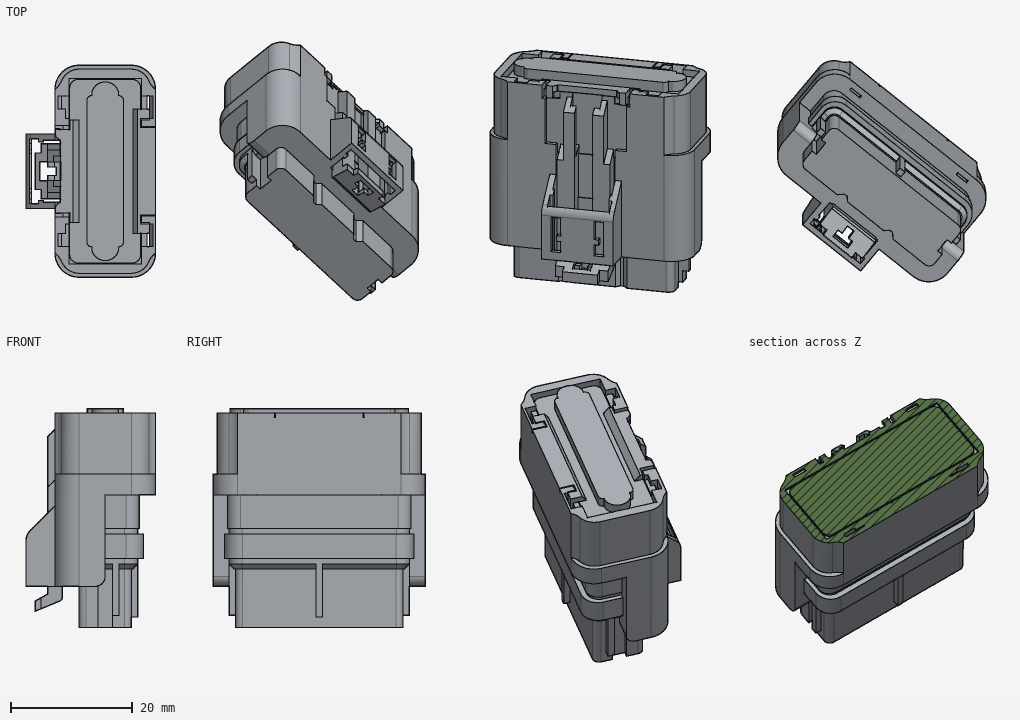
import cadquery as cq
import math


total_height = 36.0
total_width = 34.9
total_depth = 21.3

shell_half_x = 8.28
shell_corner = 4.0
shell_bottom = 6.8
shell_step = 25.25
rim_top = 35.3
upper_half_y = 16.78
collar_bottom = 21.85
skirt_edge_radius = 1.62

face_x = -shell_half_x
face_half_y = total_width / 2 - shell_corner
hood_front_x = shell_half_x - total_depth

well_half_x = 5.98
well_half_y = 15.23
well_floor = 34.25
well_gap = 0.15
well_gap_depth = 0.72
core_top_corner = 1.35

lower_slot_half_y = 5.08
upper_slot_half_y = 7.0
plate_x = -7.45
core_wall_x = -7.27
plate_bottom = 23.7

lever_front_x = -9.45
lever_half_y = 4.55
rib_inner_y = 1.55
rib_outer_y = 3.45
rib_top = 33.45
pocket_half_y = 2.52
pocket_front_x = -8.55
pocket_back_x = -7.05


def block(x0, x1, y0, y1, z0, z1):
    """Axis-aligned box between two opposite corners."""
    return cq.Workplane("XY").box(x1 - x0, y1 - y0, z1 - z0, centered=False).translate((x0, y0, z0))


def rounded_block(half_x, half_y, radius, z0, z1):
    """Box centred on the Z axis with rounded vertical edges."""
    return block(-half_x, half_x, -half_y, half_y, z0, z1).edges("|Z").fillet(radius)


def prism(points, y0, y1):
    """X-Z polygon extruded from y0 to y1."""
    return cq.Workplane("XZ", origin=(0, y1, 0)).polyline(points).close().extrude(y1 - y0)


def both_sides(body):
    """Body together with its mirror image across Y = 0."""
    return body.union(body.mirror("XZ"))


def lower_shell():
    body = rounded_block(shell_half_x, total_width / 2, shell_corner, shell_bottom, shell_step)
    opening = block(0, total_depth, -total_width, total_width, 0, collar_bottom)
    body = body.cut(opening)
    skirt_edge = cq.selectors.NearestToPointSelector((0, 0, shell_bottom))
    return body.edges("|Y").edges(skirt_edge).fillet(skirt_edge_radius)


def upper_shell():
    """Narrower top with corners that bulge out and then flare back to the faces."""
    flat_x = shell_half_x - shell_corner
    bulge_x, bulge_y = 7.15, 14.85
    run, drop = bulge_x - flat_x, upper_half_y - bulge_y
    bulge_radius = (run**2 + drop**2) / (2 * drop)
    half_angle = math.asin(run / bulge_radius) / 2
    mid_x = flat_x + bulge_radius * math.sin(half_angle)
    mid_y = upper_half_y - bulge_radius * (1 - math.cos(half_angle))
    outline = (
        cq.Workplane("XY", origin=(0, 0, shell_step))
        .moveTo(0, 0)
        .lineTo(0, upper_half_y)
        .lineTo(flat_x, upper_half_y)
        .threePointArc((mid_x, mid_y), (bulge_x, bulge_y))
        .tangentArcPoint((shell_half_x, face_half_y), relative=False)
        .lineTo(shell_half_x, 0)
        .close()
    )
    quarter = outline.extrude(rim_top - shell_step)
    half = quarter.union(quarter.mirror("YZ"))
    return both_sides(half)


def top_well():
    """Rectangular well in the rim, with a narrow gap around the core at its floor."""
    gap_floor = well_floor - well_gap_depth
    well = block(-well_half_x, well_half_x, -well_half_y, well_half_y, gap_floor, rim_top)
    core_top = rounded_block(
        well_half_x - well_gap, well_half_y - well_gap, core_top_corner, gap_floor, well_floor
    )
    return well.cut(core_top)


def top_island():
    """Raised cover with stepped, domed ends."""
    half_x, neck_x = 3.0, 2.2
    side_y, neck_y, dome_y, end_y = 11.7, 12.42, 12.95, 14.7
    halfway = math.sqrt(0.5)
    shoulder = (neck_x + halfway * (half_x - neck_x), side_y + halfway * (neck_y - side_y))
    half = (
        cq.Workplane("XY", origin=(0, 0, well_floor))
        .moveTo(-half_x, 0)
        .lineTo(half_x, 0)
        .lineTo(half_x, side_y)
        .threePointArc(shoulder, (neck_x, neck_y))
        .lineTo(neck_x, dome_y)
        .threePointArc((0, end_y), (-neck_x, dome_y))
        .lineTo(-neck_x, neck_y)
        .threePointArc((-shoulder[0], shoulder[1]), (-half_x, side_y))
        .close()
        .extrude(total_height - well_floor)
    )
    return both_sides(half)


def sloped_ledge(edge_x, slope_x, wall_x, half_y):
    """Rim-high ledge in the well whose inner edge slopes down to the floor."""
    points = [(edge_x, well_floor), (slope_x, rim_top), (wall_x, rim_top), (wall_x, well_floor)]
    return prism(points, -half_y, half_y)


back_ledge_edge_x = 4.55
back_ledge_slope_x = 5.3
front_ledge_edge_x = -4.32
front_ledge_slope_x = -5.33
front_ledge_root_x = -5.75
front_ledge_half_y = 8.4


def back_ledge():
    return sloped_ledge(back_ledge_edge_x, back_ledge_slope_x, back_slope_x, window_inner_y)


def front_ledge():
    """Ledge along the front of the well with a narrower tongue reaching the front slot."""
    ledge = sloped_ledge(front_ledge_edge_x, front_ledge_slope_x, front_ledge_root_x, front_ledge_half_y)
    return ledge.union(sloped_ledge(front_ledge_edge_x, front_ledge_slope_x, plate_x, hook_outer_y))


window_inner_y = 10.22
window_outer_y = 12.4
clip_x = 5.75
clip_inner_y = 7.2
clip_outer_y = 8.65
clip_gap = 0.18
clip_gap_depth = 0.72
front_window_x = -7.75
front_window_step_x = -7.2
window_deep_z = 33.48
front_notch_x = -6.55
back_tab_x = 6.88
back_slope_x = 7.27
back_window_x = 7.9


def front_windows():
    wide = block(front_window_x, -well_half_x, window_inner_y, window_outer_y, well_floor, rim_top)
    deep = block(
        front_window_x, front_window_step_x, window_inner_y, window_outer_y, window_deep_z, well_floor
    )
    notch = block(front_notch_x, -well_half_x, clip_outer_y, window_inner_y, well_floor, rim_top)
    return both_sides(wide.union(deep).union(notch))


def back_windows():
    """Stepped windows with a sloped outer wall and a slit right through the collar."""
    tab_seat = block(well_half_x, back_slope_x, window_inner_y, window_outer_y, well_floor, rim_top)
    slope = [(back_slope_x, window_deep_z), (back_window_x, rim_top), (back_slope_x, rim_top)]
    sloped_wall = prism(slope, clip_outer_y, window_outer_y)
    slit = block(back_tab_x, back_slope_x, window_inner_y, window_outer_y, shell_bottom, rim_top)
    return both_sides(tab_seat.union(sloped_wall).union(slit))


def clip_grooves():
    """Narrow gaps that separate each back clip from the ledge around it."""
    groove_bottom = rim_top - clip_gap_depth
    inner_y, outer_y = clip_inner_y + clip_gap, clip_outer_y - clip_gap
    area = block(clip_x, shell_half_x, clip_inner_y, clip_outer_y, groove_bottom, rim_top)
    clip = block(clip_x + clip_gap, shell_half_x, inner_y, outer_y, groove_bottom, rim_top)
    beside_slope = block(back_slope_x, shell_half_x, outer_y, clip_outer_y, groove_bottom, rim_top)
    return both_sides(area.cut(clip).cut(beside_slope))


gap_outer_y = 7.52
gap_bottom = 33.0
gap_step_x = -6.95
hook_front_x = -8.17
hook_bottom = 33.2
hook_outer_y = 6.85
hook_inner_y = 5.75
lip_x = -7.3
blend_mid_x = -7.92
blend_mid_y = 5.47
recess_inner_y = 4.68
recess_depth = 0.35


def front_slot():
    """Stepped slot in the front wall, as deep as the plate behind the lever."""
    upper = block(face_x, plate_x, -upper_slot_half_y, upper_slot_half_y, shell_step, rim_top)
    lower = block(face_x, plate_x, -lower_slot_half_y, lower_slot_half_y, shell_bottom, shell_step)
    below_plate = block(
        plate_x, core_wall_x, -lower_slot_half_y, lower_slot_half_y, shell_bottom, plate_bottom
    )
    side_gap = block(face_x, gap_step_x, hook_outer_y, gap_outer_y, gap_bottom, rim_top)
    gap_end = block(gap_step_x, -well_half_x, hook_outer_y, gap_outer_y, well_floor, rim_top)
    recess = block(plate_x, plate_x + recess_depth, recess_inner_y, hook_inner_y, gap_bottom, well_floor)
    lip_face = block(plate_x, lip_x, -lower_slot_half_y, lower_slot_half_y, well_floor, rim_top)
    middle = upper.union(lower).union(below_plate).union(lip_face)
    return middle.union(both_sides(side_gap.union(gap_end).union(recess)))


def lip_hooks():
    """Hooks at both ends of the lip, blended into the plate by a rounded corner."""
    hook = block(hook_front_x, plate_x, hook_inner_y, hook_outer_y, hook_bottom, rim_top)
    blend = (
        cq.Workplane("XY", origin=(0, 0, well_floor))
        .moveTo(hook_front_x, hook_inner_y)
        .threePointArc((blend_mid_x, blend_mid_y), (lip_x, lower_slot_half_y))
        .lineTo(lip_x, hook_inner_y)
        .close()
        .extrude(rim_top - well_floor)
    )
    return both_sides(hook.union(blend))


hood_half_y = 6.15
hood_top = 20.0
nose_start_z = 16.0
nose_mid_x = hood_front_x + 0.18
nose_mid_z = 15.23
nose_end_z = 14.45
hood_wall_x = -12.1
hood_bar_x = -12.42
hood_pocket_half_y = 5.33
hood_guide_half_y = 4.8
hood_guide_front_x = -10.98
hood_guide_back_x = -10.15
window_sill = 8.25
window_head = 14.22
hood_window_inner_y = 2.88
hood_tab_tip_y = 3.6
hood_tab_bottom = 10.15
hood_tab_top = 11.1


def hood():
    nose_start_x = face_x - (hood_top - nose_start_z)
    side = (
        cq.Workplane("XZ", origin=(0, hood_half_y, 0))
        .moveTo(face_x, shell_bottom)
        .lineTo(face_x, hood_top)
        .lineTo(nose_start_x, nose_start_z)
        .threePointArc((nose_mid_x, nose_mid_z), (hood_front_x, nose_end_z))
        .lineTo(hood_front_x, shell_bottom)
        .close()
    )
    body = side.extrude(2 * hood_half_y)
    for x0, x1, half_y in (
        (hood_wall_x, hood_guide_front_x, hood_pocket_half_y),
        (hood_guide_front_x, hood_guide_back_x, hood_guide_half_y),
        (hood_guide_back_x, face_x, lower_slot_half_y),
    ):
        body = body.cut(block(x0, x1, -half_y, half_y, shell_bottom, hood_top))
    above_wall = block(
        hood_bar_x, hood_wall_x, -hood_pocket_half_y, hood_pocket_half_y, window_head, hood_top
    )
    window = block(hood_front_x, hood_wall_x, hood_window_inner_y, lever_half_y, window_sill, window_head)
    tab = block(
        hood_front_x, hood_wall_x, hood_window_inner_y, hood_tab_tip_y, hood_tab_bottom, hood_tab_top
    )
    return body.cut(above_wall).cut(both_sides(window.cut(tab)))


lever_back_x = -7.05
foot_tip_x = -11.52
foot_step_x = -10.55
foot_tip_half_y = 3.02
foot_bend_z = 5.55
foot_tip_top = 4.4
foot_tip_bottom = 2.7
foot_heel_x = -7.4
foot_heel_z = 4.4
shoulder_top = 25.1
channel_step_z = 16.13
channel_ledge_x = -8.35
channel_ledge_z = 4.95
channel_back_x = -7.4
inner_ledge_z = 10.8
channel_floor_x = -8.05
notch_half_y = 0.7
foot_notch_x = -10.73


def sloped_top(top_z):
    """X-Z corners of a bar on the plate, cut off at 45 degrees at its top front."""
    return [
        (lever_front_x, shell_bottom),
        (lever_front_x, top_z - (plate_x - lever_front_x)),
        (plate_x, top_z),
        (lever_back_x, top_z),
        (lever_back_x, shell_bottom),
    ]


def lever_foot():
    """Finger tab bent forward below the hood, stepped back at both ends."""
    points = [
        (lever_front_x, shell_bottom),
        (lever_front_x, foot_bend_z),
        (foot_tip_x, foot_tip_top),
        (foot_tip_x, foot_tip_bottom),
        (foot_heel_x, foot_heel_z),
        (lever_back_x, foot_heel_z + lever_back_x - foot_heel_x),
        (lever_back_x, shell_bottom),
    ]
    foot = prism(points, -lever_half_y, lever_half_y)
    end_step = block(foot_tip_x, foot_step_x, foot_tip_half_y, lever_half_y, 0, shell_bottom)
    return foot.cut(both_sides(end_step))


def lever():
    body = prism(sloped_top(shoulder_top), -lever_half_y, lever_half_y)
    rib = prism(sloped_top(rib_top), rib_inner_y, rib_outer_y)
    return body.union(both_sides(rib)).union(lever_foot())


def lever_channel():
    """Groove between the ribs, narrowing to a notch that runs out through the foot."""
    wide = block(lever_front_x, plate_x, -rib_inner_y, rib_inner_y, plate_bottom, rib_top)
    deep = block(lever_front_x, core_wall_x, -rib_inner_y, rib_inner_y, channel_step_z, plate_bottom)
    front = block(
        lever_front_x, channel_ledge_x, -rib_inner_y, rib_inner_y, channel_ledge_z, channel_step_z
    )
    inner = block(
        channel_ledge_x, channel_back_x, -rib_inner_y, rib_inner_y, inner_ledge_z, channel_step_z
    )
    narrow = block(lever_front_x, channel_floor_x, -notch_half_y, notch_half_y, 0, channel_step_z)
    foot_notch = block(foot_notch_x, lever_front_x, -rib_inner_y, rib_inner_y, 0, shell_bottom)
    return wide.union(deep).union(front).union(inner).union(narrow).union(foot_notch)


def rib_pocket():
    """Pocket behind the rib fronts with a 45 degree floor on both sides of the channel."""
    depth = pocket_back_x - pocket_front_x
    points = [
        (pocket_front_x, plate_bottom),
        (pocket_front_x, well_floor),
        (pocket_back_x, well_floor),
        (pocket_back_x, plate_bottom + depth),
    ]
    pocket = prism(points, -pocket_half_y, pocket_half_y)
    middle = block(pocket_front_x, pocket_back_x, -rib_inner_y, rib_inner_y, plate_bottom, well_floor)
    return pocket.union(middle)


stem_half_x = 4.32
stem_half_y = 13.8
stem_corner = 1.15
stem_top = 10.8
body_half_x = 5.35
body_half_y = 14.85
body_corner = 2.15
body_bottom = 9.65
body_chamfer = 0.83
neck_half_x = 5.6
neck_half_y = 15.12
neck_bottom = 16.3
seal_half_x = 6.3
seal_half_y = 15.55
seal_corner = 2.9
seal_bottom = 11.35
seal_top = 15.45


def core():
    stem = rounded_block(stem_half_x, stem_half_y, stem_corner, 0, stem_top)
    body = rounded_block(body_half_x, body_half_y, body_corner, body_bottom, neck_bottom)
    body = body.faces("<Z").chamfer(body_chamfer)
    seal = rounded_block(seal_half_x, seal_half_y, seal_corner, seal_bottom, seal_top)
    neck = rounded_block(neck_half_x, neck_half_y, body_corner, neck_bottom, collar_bottom)
    return stem.union(body).union(seal).union(neck)


end_recess_half_x = 1.22
end_recess_depth = 0.9
end_key_outer_x = 2.3
end_key_bottom = 2.0
back_key_half_y = 0.55
back_key_bottom = 1.73


def end_recesses():
    recess = block(
        -end_recess_half_x, end_recess_half_x, stem_half_y - end_recess_depth, stem_half_y, 0, body_bottom
    )
    return both_sides(recess)


def stem_keys():
    """Guide ribs that drop from the core body along the ends and the back of the stem."""
    root_y = stem_half_y - stem_corner
    end_key = block(
        end_recess_half_x, end_key_outer_x, root_y, body_half_y, end_key_bottom, seal_bottom
    )
    back_key = block(0, body_half_x, -back_key_half_y, back_key_half_y, back_key_bottom, seal_bottom)
    return both_sides(end_key).union(back_key)


front_recess_edge_y = 5.9
front_ridge_half_y = 3.85
front_recess_depth = front_recess_edge_y - lower_slot_half_y
front_ridge_height = lever_half_y - front_ridge_half_y


def front_recess():
    """Slant-sided recess in the front of the stem, with a slant-sided ridge on its floor."""
    floor_x = front_recess_depth - stem_half_x
    recess = [
        (-stem_half_x, front_recess_edge_y),
        (floor_x, lower_slot_half_y),
        (floor_x, -lower_slot_half_y),
        (-stem_half_x, -front_recess_edge_y),
    ]
    ridge = [
        (floor_x, lever_half_y),
        (floor_x - front_ridge_height, front_ridge_half_y),
        (floor_x - front_ridge_height, -front_ridge_half_y),
        (floor_x, -lever_half_y),
    ]
    pocket = cq.Workplane("XY").polyline(recess).close().extrude(shell_bottom)
    return pocket.cut(cq.Workplane("XY").polyline(ridge).close().extrude(shell_bottom))


part = lower_shell().union(upper_shell()).union(core())
part = part.cut(end_recesses()).cut(front_recess()).union(stem_keys())

part = part.cut(top_well()).union(back_ledge())
part = part.cut(front_windows()).cut(back_windows()).cut(clip_grooves())
part = part.union(front_ledge()).cut(front_slot()).union(lip_hooks()).union(top_island())

part = part.union(hood()).union(lever())
result = part.cut(lever_channel()).cut(rib_pocket())